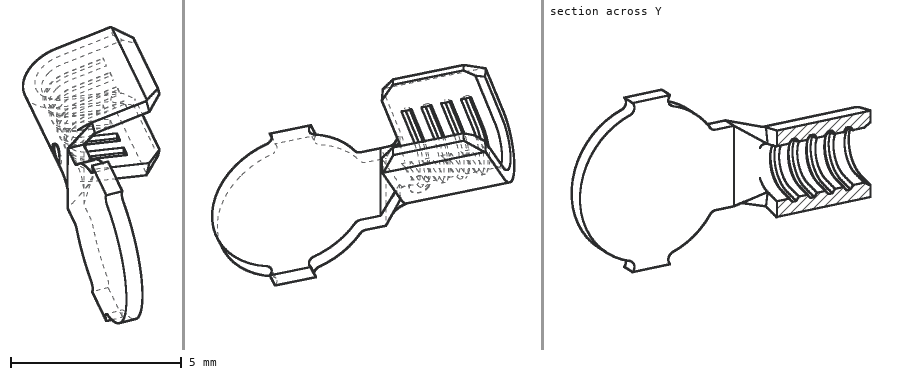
import cadquery as cq
import math

sheet = 0.5
disc_radius = 2.41
overall_length = 9.14
overall_height = 5.33
tab_half_width = 0.634
notch_depth = 0.06
notch_level = 0.16
notch_foot_x = 0.757

neck_half_height = 1.27
neck_fillet = 0.2
neck_start_x = -2.78

barrel_start_x = disc_radius - overall_length
barrel_length = 3.17
barrel_end_x = barrel_start_x + barrel_length
outer_radius = neck_half_height
inner_radius = outer_radius - sheet
flare = math.radians(11.0)
leg_length = 2.218
tip_thickness = 0.25
tip_bevel_length = 0.47
tip_corner_cut = 0.5
entry_chamfer_length = 0.22
entry_chamfer_depth = 0.13

groove_count = 4
groove_pitch = 0.61
groove_offset = 0.08
groove_mouth = 0.31
groove_floor = 0.13
groove_depth = 0.12
groove_leg_length = 1.17

recess_x = -3.815
recess_radius = 0.317
recess_depth = 0.06

clearance = 0.1


def wall_point(radius, along, side):
    """(Y, Z) of a point on a leg: radius from the barrel axis, distance past the round bottom."""
    y = outer_radius - radius * math.sin(flare) + along * math.cos(flare)
    z = radius * math.cos(flare) + along * math.sin(flare)
    return (y, side * z)


def bottom_point(radius):
    """(Y, Z) of the middle of the round bottom at the given radius."""
    return (outer_radius - radius, 0)


def make_barrel():
    bevel_start = leg_length - tip_bevel_length
    tip_radius = inner_radius + tip_thickness
    return (
        cq.Workplane("YZ", origin=(barrel_start_x, 0, 0))
        .moveTo(*wall_point(inner_radius, leg_length, 1))
        .lineTo(*wall_point(tip_radius, leg_length, 1))
        .lineTo(*wall_point(outer_radius, bevel_start, 1))
        .lineTo(*wall_point(outer_radius, 0, 1))
        .threePointArc(bottom_point(outer_radius), wall_point(outer_radius, 0, -1))
        .lineTo(*wall_point(outer_radius, bevel_start, -1))
        .lineTo(*wall_point(tip_radius, leg_length, -1))
        .lineTo(*wall_point(inner_radius, leg_length, -1))
        .lineTo(*wall_point(inner_radius, 0, -1))
        .threePointArc(bottom_point(inner_radius), wall_point(inner_radius, 0, 1))
        .close()
        .extrude(barrel_length)
    )


def channel_section(x, radius, along):
    """Closed wire around the open channel inside the given wall radius."""
    return (
        cq.Workplane("YZ", origin=(x, 0, 0))
        .moveTo(*wall_point(radius, along, 1))
        .lineTo(*wall_point(radius, 0, 1))
        .threePointArc(bottom_point(radius), wall_point(radius, 0, -1))
        .lineTo(*wall_point(radius, along, -1))
        .close()
        .val()
    )


def make_entry_chamfer():
    """Funnel that bevels the inner edge at the wire entry."""
    reach = leg_length + clearance
    mouth = channel_section(barrel_start_x, inner_radius + entry_chamfer_depth, reach)
    throat = channel_section(barrel_start_x + entry_chamfer_length, inner_radius, reach)
    return cq.Workplane(cq.Solid.makeLoft([mouth, throat], True))


def make_corner_cutter(x, inward, side):
    """Prism that trims one corner off a leg tip at 45 degrees, square to the leg."""
    tip_y, tip_z = wall_point(inner_radius, leg_length, side)
    leg_direction = (0, math.cos(flare), side * math.sin(flare))
    plane = cq.Plane(origin=(x, tip_y, tip_z), xDir=(inward, 0, 0),
                     normal=cq.Vector(inward, 0, 0).cross(cq.Vector(*leg_direction)))
    return (
        cq.Workplane(plane)
        .moveTo(-clearance, -tip_corner_cut - clearance)
        .lineTo(tip_corner_cut + clearance, clearance)
        .lineTo(-clearance, clearance)
        .close()
        .extrude(sheet + clearance, both=True)
    )


def make_groove(x):
    """Trapezoidal groove following the inside of the U from leg to leg."""
    start = wall_point(inner_radius, groove_leg_length, 1)
    path = (
        cq.Workplane("YZ", origin=(x, 0, 0))
        .moveTo(*start)
        .lineTo(*wall_point(inner_radius, 0, 1))
        .threePointArc(bottom_point(inner_radius), wall_point(inner_radius, 0, -1))
        .lineTo(*wall_point(inner_radius, groove_leg_length, -1))
    )
    toward_bottom = (0, -math.cos(flare), -math.sin(flare))
    plane = cq.Plane(origin=(x, *start), xDir=(1, 0, 0), normal=toward_bottom)
    into_wall = 1 if plane.yDir.z > 0 else -1
    section = (
        cq.Workplane(plane)
        .moveTo(-groove_mouth / 2, 0)
        .lineTo(-groove_floor / 2, into_wall * groove_depth)
        .lineTo(groove_floor / 2, into_wall * groove_depth)
        .lineTo(groove_mouth / 2, 0)
        .close()
    )
    return section.sweep(path)


def make_transition():
    """Bent web that flattens the round barrel bottom into the neck strip."""
    round_end = (
        cq.Workplane("YZ", origin=(barrel_end_x, 0, 0))
        .moveTo(*wall_point(outer_radius, 0, 1))
        .threePointArc(bottom_point(outer_radius), wall_point(outer_radius, 0, -1))
        .lineTo(*wall_point(inner_radius, 0, -1))
        .threePointArc(bottom_point(inner_radius), wall_point(inner_radius, 0, 1))
        .close()
        .val()
    )
    flat_end = (
        cq.Workplane("YZ", origin=(neck_start_x, 0, 0))
        .moveTo(0, neck_half_height)
        .lineTo(0, -neck_half_height)
        .lineTo(sheet, -neck_half_height)
        .lineTo(sheet, neck_half_height)
        .close()
        .val()
    )
    return cq.Workplane(cq.Solid.makeLoft([round_end, flat_end], True))


def make_tab():
    """Carrier tab across the disc, with a rounded notch beside each corner."""
    end_z = overall_height / 2
    waist_x = tab_half_width - notch_depth
    waist_z = end_z - notch_level
    foot_z = math.sqrt(disc_radius**2 - notch_foot_x**2)
    return (
        cq.Workplane("XZ")
        .moveTo(-tab_half_width, end_z)
        .lineTo(tab_half_width, end_z)
        .threePointArc((waist_x, waist_z), (notch_foot_x, foot_z))
        .lineTo(notch_foot_x, -foot_z)
        .threePointArc((waist_x, -waist_z), (tab_half_width, -end_z))
        .lineTo(-tab_half_width, -end_z)
        .threePointArc((-waist_x, -waist_z), (-notch_foot_x, -foot_z))
        .lineTo(-notch_foot_x, foot_z)
        .threePointArc((-waist_x, waist_z), (-tab_half_width, end_z))
        .close()
        .extrude(-sheet)
    )


def make_flat_plate():
    disc = cq.Workplane("XZ").circle(disc_radius).extrude(-sheet)
    neck = (
        cq.Workplane("XZ")
        .center(neck_start_x / 2, 0)
        .rect(-neck_start_x, 2 * neck_half_height)
        .extrude(-sheet)
    )
    rim_x = -math.sqrt(disc_radius**2 - neck_half_height**2)
    plate = disc.union(neck)
    for side in (1, -1):
        corner = (rim_x, sheet / 2, side * neck_half_height)
        plate = plate.edges(cq.selectors.NearestToPointSelector(corner)).fillet(neck_fillet)
    return plate.union(make_tab())


def make_recess():
    return (
        cq.Workplane("XZ", origin=(0, -clearance, 0))
        .center(recess_x, 0)
        .circle(recess_radius)
        .extrude(-recess_depth - clearance)
    )


barrel = make_barrel().cut(make_entry_chamfer())
for leg_side in (1, -1):
    barrel = barrel.cut(make_corner_cutter(barrel_start_x, 1, leg_side))
    barrel = barrel.cut(make_corner_cutter(barrel_end_x, -1, leg_side))

groove_middle_x = (barrel_start_x + barrel_end_x) / 2 + groove_offset
for index in range(groove_count):
    groove_x = groove_middle_x + (index - (groove_count - 1) / 2) * groove_pitch
    barrel = barrel.cut(make_groove(groove_x))

result = make_flat_plate().union(make_transition()).union(barrel).cut(make_recess())